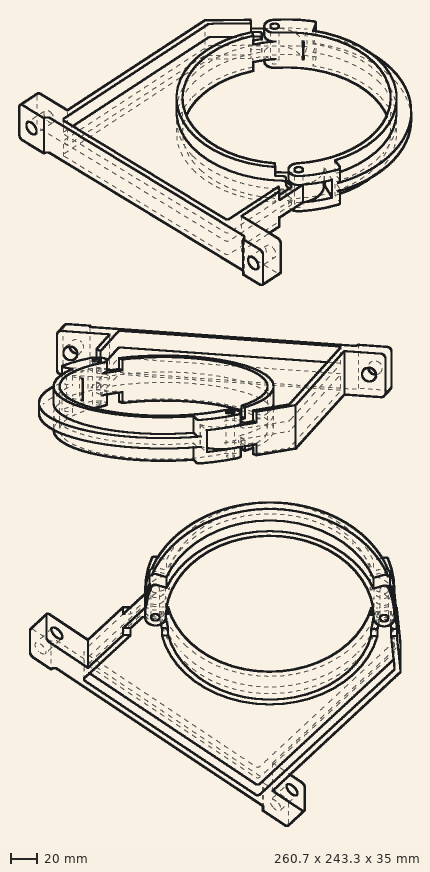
import cadquery as cq
import math

LENGTH = 260.7
HEIGHT = 35.0

RING_X = 13.3
RING_Y = 147.3
BORE_RADIUS = 80.0
CORE_RADIUS = BORE_RADIUS - 2.5
WALL_RADIUS = 84.7
OUTER_RADIUS = 96.0
HINGE_RADIUS = (BORE_RADIUS + OUTER_RADIUS) / 2
KNUCKLE_RADIUS = (OUTER_RADIUS - BORE_RADIUS) / 2
HINGE_ANGLE = 140.0
SLOPE_ANGLE = 135.0
SLOPE_END_ANGLE = 139.0
SPLIT_NORMAL = HINGE_ANGLE - 90
KNUCKLE_SPAN = 20.0
FORK_SPAN = 15.4
TONGUE_SPAN = 15.0
TONGUE_ROUND = 20.9
KNUCKLE_CORNER = 2.5
PIN_DIAMETER = 6.5
WEB_THICKNESS = 8.3
TONGUE_THICKNESS = HEIGHT / 2

BODY_LEFT = -97.8
BODY_RIGHT = 88.5
SIDE_WALL = 5.2
RIGHT_WALL = 4.5
SLOPE_WALL = 4.5
POCKET_BOTTOM = 8.3
POCKET_CORNER = 2.0
HINGE_BOSS_RADIUS = 10.0
CLEARANCE_OFFSET = 17.5

FOOT_DEPTH = 19.5
FOOT_ROUND = 3.6
SCREW_DIAMETER = 11.0
SCREW_LEFT = -117.3
SCREW_RIGHT = 119.7
RELIEF_LEFT = -104.0
RELIEF_RIGHT = 109.0
RELIEF_DEPTH = 3.5


def ring_point(radius, angle):
    """Point at a polar position around the ring centre."""
    turn = math.radians(angle)
    return RING_X + radius * math.cos(turn), RING_Y + radius * math.sin(turn)


def centred(sketch, height):
    """Extrude equally above and below Z = 0."""
    return sketch.extrude(height / 2, both=True)


def disk(centre, radius, height):
    return centred(cq.Workplane().center(*centre).circle(radius), height)


def ring_sector(inner, outer, start, end, height):
    """Part of a ring between two angles, counter-clockwise."""
    middle = (start + end) / 2
    outline = (
        cq.Workplane()
        .moveTo(*ring_point(inner, start))
        .lineTo(*ring_point(outer, start))
        .threePointArc(ring_point(outer, middle), ring_point(outer, end))
        .lineTo(*ring_point(inner, end))
        .threePointArc(ring_point(inner, middle), ring_point(inner, start))
        .close()
    )
    return centred(outline, height)


def slope_y(x, distance):
    """Height on the 45 degree line lying this far up and left of the ring centre."""
    return RING_Y + (x - RING_X) + distance * math.sqrt(2)


RING_CENTRE = (RING_X, RING_Y)
HINGES = [(HINGE_ANGLE, -1), (HINGE_ANGLE - 180, 1)]


def make_housing():
    """Body with a straight left slope in line with the ring, ending in hinge tongues rounded outside."""
    right_top = RING_Y - math.sqrt(OUTER_RADIUS**2 - (BODY_RIGHT - RING_X) ** 2)
    left_tip, right_tip = (ring_point(BORE_RADIUS, angle + turn * TONGUE_SPAN) for angle, turn in HINGES)
    slope_end_radius = OUTER_RADIUS / math.cos(math.radians(SLOPE_END_ANGLE - SLOPE_ANGLE))
    outline = (
        cq.Workplane()
        .moveTo(BODY_LEFT, 0)
        .lineTo(BODY_LEFT, slope_y(BODY_LEFT, OUTER_RADIUS))
        .lineTo(*ring_point(slope_end_radius, SLOPE_END_ANGLE))
        .radiusArc(left_tip, TONGUE_ROUND)
        .lineTo(*RING_CENTRE)
        .lineTo(*right_tip)
        .radiusArc((BODY_RIGHT, right_top), TONGUE_ROUND)
        .lineTo(BODY_RIGHT, 0)
        .close()
    )
    return centred(outline, HEIGHT)


def make_pocket():
    """Both tray pockets together, with the middle web still to be left out."""
    left = BODY_LEFT + SIDE_WALL
    right = BODY_RIGHT - RIGHT_WALL
    slope = OUTER_RADIUS - SLOPE_WALL
    outline = [
        (left, POCKET_BOTTOM),
        (left, slope_y(left, slope)),
        (RING_X, slope_y(RING_X, slope)),
        RING_CENTRE,
        (right, RING_Y),
        (right, POCKET_BOTTOM),
    ]
    pocket = centred(cq.Workplane().polyline(outline).close(), HEIGHT)
    pocket = pocket.cut(disk(RING_CENTRE, WALL_RADIUS, HEIGHT))
    for angle, _ in HINGES:
        pocket = pocket.cut(disk(ring_point(HINGE_RADIUS, angle), HINGE_BOSS_RADIUS, HEIGHT))
    pocket = pocket.solids(cq.selectors.NearestToPointSelector((BODY_LEFT, 0, 0)))
    pocket = cq.Workplane(pocket.val()).edges("|Z").fillet(POCKET_CORNER)
    web = cq.Workplane().box(2 * LENGTH, 2 * LENGTH, WEB_THICKNESS)
    return pocket.cut(web)


def make_hinge_clearance():
    """Space above and below the tongues, up to a line parallel to the ring split."""
    block = (
        cq.Workplane()
        .box(LENGTH, LENGTH, HEIGHT, centered=(False, True, True))
        .cut(cq.Workplane().box(2 * LENGTH, LENGTH, TONGUE_THICKNESS))
        .translate((-CLEARANCE_OFFSET, 0, 0))
    )
    return block.rotate((0, 0, 0), (0, 0, 1), SPLIT_NORMAL).translate((*RING_CENTRE, 0))


def make_feet():
    feet = (
        cq.Workplane()
        .box(LENGTH, FOOT_DEPTH, HEIGHT, centered=(True, False, True))
        .edges("|Y")
        .fillet(FOOT_ROUND)
    )
    screws = (
        cq.Workplane("XZ")
        .pushPoints([(SCREW_LEFT, 0), (SCREW_RIGHT, 0)])
        .circle(SCREW_DIAMETER / 2)
        .extrude(-FOOT_DEPTH)
    )
    return feet.cut(screws)


def make_relief():
    """Shallow recess between the feet, with rounded inner corners."""
    width = RELIEF_RIGHT - RELIEF_LEFT
    relief = cq.Workplane().box(width, 4 * RELIEF_DEPTH, HEIGHT)
    relief = relief.edges("|Z and >Y").fillet(RELIEF_DEPTH)
    return relief.translate(((RELIEF_LEFT + RELIEF_RIGHT) / 2, -RELIEF_DEPTH, 0))


def make_knuckle(angle, direction):
    """Full-height clamp end, forked around the tongue."""
    inner_end = angle + direction * KNUCKLE_SPAN
    ends = sorted([angle, inner_end])
    knuckle = ring_sector(CORE_RADIUS, OUTER_RADIUS, *ends, HEIGHT)
    corner = cq.selectors.NearestToPointSelector((*ring_point(OUTER_RADIUS, inner_end), 0))
    knuckle = knuckle.edges("|Z").edges(corner).fillet(KNUCKLE_CORNER)
    return knuckle.union(disk(ring_point(HINGE_RADIUS, angle), KNUCKLE_RADIUS, HEIGHT))


def make_clamp():
    start, end = HINGE_ANGLE - 180, HINGE_ANGLE
    clamp = ring_sector(CORE_RADIUS, WALL_RADIUS, start, end, HEIGHT)
    clamp = clamp.union(ring_sector(CORE_RADIUS, OUTER_RADIUS, start, end, WEB_THICKNESS))
    for angle, direction in HINGES:
        clamp = clamp.union(make_knuckle(angle, direction))
        slot_ends = sorted([angle - direction * FORK_SPAN, angle + direction * FORK_SPAN])
        slot = ring_sector(CORE_RADIUS - 2.5, OUTER_RADIUS + 2.5, *slot_ends, TONGUE_THICKNESS)
        clamp = clamp.cut(slot)
    return clamp


base = make_housing().cut(make_hinge_clearance())
base = base.union(make_feet()).cut(make_pocket()).cut(make_relief())

result = base.union(make_clamp()).cut(disk(RING_CENTRE, BORE_RADIUS, HEIGHT))
for hinge_angle, _ in HINGES:
    result = result.cut(disk(ring_point(HINGE_RADIUS, hinge_angle), PIN_DIAMETER / 2, HEIGHT))